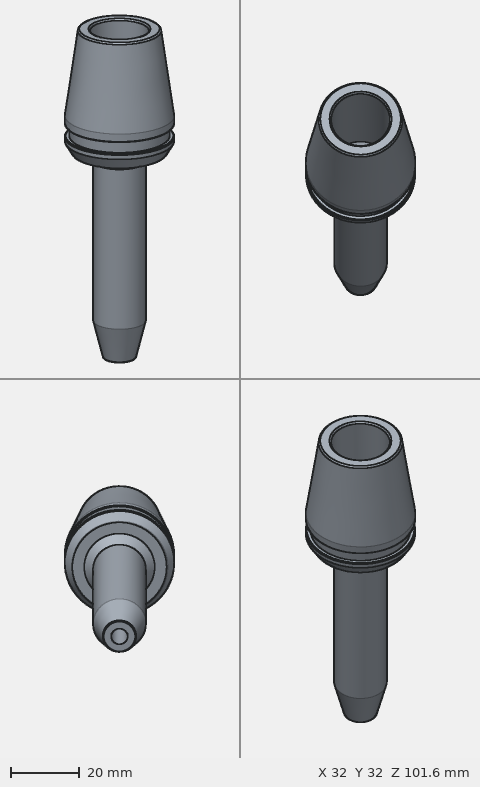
import cadquery as cq
import math

length = 101.6

stem_radius = 7.7
tip_radius = 4.9
tip_taper_length = 11.6
tip_chamfer = 0.3

neck_bottom = 60.9
neck_radius = 10.3
base_height = 63.4
base_radius = 14.0
base_chamfer = 0.3
head_radius = 16.0
lower_rim_bottom = 67.0
lower_rim_top = 68.6
upper_rim_bottom = 72.1
upper_rim_top = 74.9
groove_radius = 29.3 / 2
rim_chamfer = 0.3
top_radius = 12.2
top_chamfer_width = 0.5
top_chamfer_height = 0.5

bore_radius = 17.1 / 2
bore_floor = 71.1
bore_chamfer = 0.5
shelf_radius = 9.4 / 2
funnel_half_angle = 60
hole_radius = 4.8 / 2
hole_mouth_radius = 6.3 / 2
funnel_depth = (bore_radius - shelf_radius) / math.tan(math.radians(funnel_half_angle))
shelf_height = bore_floor - funnel_depth
mouth_bevel = hole_mouth_radius - hole_radius


def turned(profile):
    """Revolve a closed (radius, height) profile about the Z axis."""
    return cq.Workplane("YZ").polyline(profile).close().revolve(360, (0, 0), (0, 1))


def make_body():
    """Tapered stem and grooved head as a solid of revolution."""
    return turned([
        (0, 0),
        (tip_radius - tip_chamfer, 0),
        (tip_radius, tip_chamfer),
        (stem_radius, tip_taper_length),
        (stem_radius, neck_bottom),
        (neck_radius, base_height),
        (base_radius - base_chamfer, base_height),
        (base_radius, base_height + base_chamfer),
        (head_radius, lower_rim_bottom),
        (head_radius, lower_rim_top - rim_chamfer),
        (head_radius - rim_chamfer, lower_rim_top),
        (groove_radius, lower_rim_top),
        (groove_radius, upper_rim_bottom),
        (head_radius - rim_chamfer, upper_rim_bottom),
        (head_radius, upper_rim_bottom + rim_chamfer),
        (head_radius, upper_rim_top),
        (top_radius, length - top_chamfer_height),
        (top_radius - top_chamfer_width, length),
        (0, length),
    ])


def make_cavity():
    """Bore, funnel, shelf and through hole, removed along the axis."""
    return turned([
        (0, 0),
        (hole_radius, 0),
        (hole_radius, shelf_height - mouth_bevel),
        (hole_mouth_radius, shelf_height),
        (shelf_radius, shelf_height),
        (bore_radius, bore_floor),
        (bore_radius, length - bore_chamfer),
        (bore_radius + bore_chamfer, length),
        (0, length),
    ])


result = make_body().cut(make_cavity())